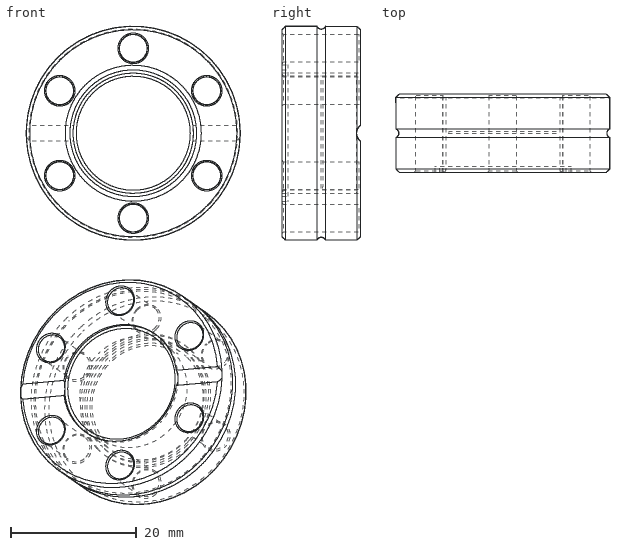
import cadquery as cq
import math

FLANGE_DIA = 34.05
FLANGE_THICKNESS = 12.5
RIM_CHAMFER = 0.55
FLANGE_RADIUS = FLANGE_DIA / 2
FRONT_Y = -FLANGE_THICKNESS / 2
BACK_Y = FLANGE_THICKNESS / 2

RIM_GROOVE_WIDTH = 1.4
RIM_GROOVE_DEPTH = 0.45

BOLT_HOLE_COUNT = 6
BOLT_HOLE_DIA = 4.4
BOLT_CIRCLE_DIA = 27.0
BOLT_HOLE_CHAMFER = 0.25

NOTCH_RADIUS = 1.55
NOTCH_DEPTH = 0.6

WELD_GROOVE_OUTER_DIA = 21.65
WELD_GROOVE_INNER_DIA = 20.15
WELD_GROOVE_DEPTH = 1.0

SLEEVE_BACK_Y = BACK_Y - NOTCH_DEPTH
SLEEVE_OUTER_DIA = 19.15
SLEEVE_INNER_DIA = 18.15
SLEEVE_WALL = (SLEEVE_OUTER_DIA - SLEEVE_INNER_DIA) / 2

WINDOW_FLAT_DIA = 16.6
WINDOW_DEPTH = 6.5
WINDOW_RIM_HEIGHT = 0.3
WINDOW_RADIUS = SLEEVE_INNER_DIA / 2
WINDOW_FACE_Y = FRONT_Y + WINDOW_DEPTH


def cylinder_y(diameter, start_y, length):
    """Cylinder on the Y axis, running towards +Y from start_y."""
    return cq.Workplane("XZ", origin=(0, start_y, 0)).circle(diameter / 2).extrude(-length)


def tube_y(outer_dia, inner_dia, start_y, length):
    """Tube on the Y axis, running towards +Y from start_y."""
    return cylinder_y(outer_dia, start_y, length).cut(cylinder_y(inner_dia, start_y, length))


def revolve_y(profile):
    """Full turn about the Y axis of an outline drawn in the XY plane."""
    return profile.close().revolve(360, (0, 0, 0), (0, 1, 0))


def make_rim_groove():
    """Ring whose inner side is the rounded groove of the rim."""
    half_width = RIM_GROOVE_WIDTH / 2
    profile = (
        cq.Workplane("XY")
        .moveTo(FLANGE_RADIUS, -half_width)
        .threePointArc((FLANGE_RADIUS - RIM_GROOVE_DEPTH, 0), (FLANGE_RADIUS, half_width))
    )
    return revolve_y(profile)


def make_bolt_hole(angle):
    """Through hole with a conical chamfer at both ends."""
    center_x = BOLT_CIRCLE_DIA / 2 * math.cos(angle)
    center_z = BOLT_CIRCLE_DIA / 2 * math.sin(angle)
    radius = BOLT_HOLE_DIA / 2
    mouth_radius = radius + BOLT_HOLE_CHAMFER
    hole = (
        cq.Workplane("XY")
        .moveTo(0, FRONT_Y)
        .lineTo(mouth_radius, FRONT_Y)
        .lineTo(radius, FRONT_Y + BOLT_HOLE_CHAMFER)
        .lineTo(radius, BACK_Y - BOLT_HOLE_CHAMFER)
        .lineTo(mouth_radius, BACK_Y)
        .lineTo(0, BACK_Y)
    )
    return revolve_y(hole).translate((center_x, 0, center_z))


def make_leak_check_notch():
    """Rod along X that leaves the notch from rim to rim."""
    axis_y = BACK_Y - NOTCH_DEPTH + NOTCH_RADIUS
    return (
        cq.Workplane("YZ", origin=(-FLANGE_RADIUS, axis_y, 0))
        .circle(NOTCH_RADIUS)
        .extrude(FLANGE_DIA)
    )


def make_flange():
    flange = cylinder_y(FLANGE_DIA, FRONT_Y, FLANGE_THICKNESS).edges().chamfer(RIM_CHAMFER)
    flange = flange.cut(cylinder_y(SLEEVE_OUTER_DIA, FRONT_Y, FLANGE_THICKNESS))
    flange = flange.cut(
        tube_y(WELD_GROOVE_OUTER_DIA, WELD_GROOVE_INNER_DIA, FRONT_Y, WELD_GROOVE_DEPTH)
    )
    flange = flange.cut(make_rim_groove())
    for index in range(BOLT_HOLE_COUNT):
        angle = math.pi / 2 + index * 2 * math.pi / BOLT_HOLE_COUNT
        flange = flange.cut(make_bolt_hole(angle))
    return flange.cut(make_leak_check_notch())


def make_sleeve():
    """Tube through the flange, its front end rounded into the bore."""
    outer = SLEEVE_OUTER_DIA / 2
    inner = SLEEVE_INNER_DIA / 2
    round_offset = SLEEVE_WALL * math.sqrt(0.5)
    profile = (
        cq.Workplane("XY")
        .moveTo(outer, FRONT_Y)
        .threePointArc(
            (outer - round_offset, FRONT_Y + SLEEVE_WALL - round_offset),
            (inner, FRONT_Y + SLEEVE_WALL),
        )
        .lineTo(inner, SLEEVE_BACK_Y)
        .lineTo(outer, SLEEVE_BACK_Y)
    )
    return revolve_y(profile)


def make_window():
    """Disc filling the sleeve behind the recess, with a concave raised rim."""
    flat_radius = WINDOW_FLAT_DIA / 2
    profile = (
        cq.Workplane("XY")
        .moveTo(0, WINDOW_FACE_Y)
        .lineTo(flat_radius, WINDOW_FACE_Y)
        .tangentArcPoint((WINDOW_RADIUS, WINDOW_FACE_Y - WINDOW_RIM_HEIGHT), relative=False)
        .lineTo(WINDOW_RADIUS, SLEEVE_BACK_Y)
        .lineTo(0, SLEEVE_BACK_Y)
    )
    return revolve_y(profile)


flange = make_flange()
sleeve = make_sleeve()
window = make_window()

result = cq.Compound.makeCompound([flange.val(), sleeve.val(), window.val()])